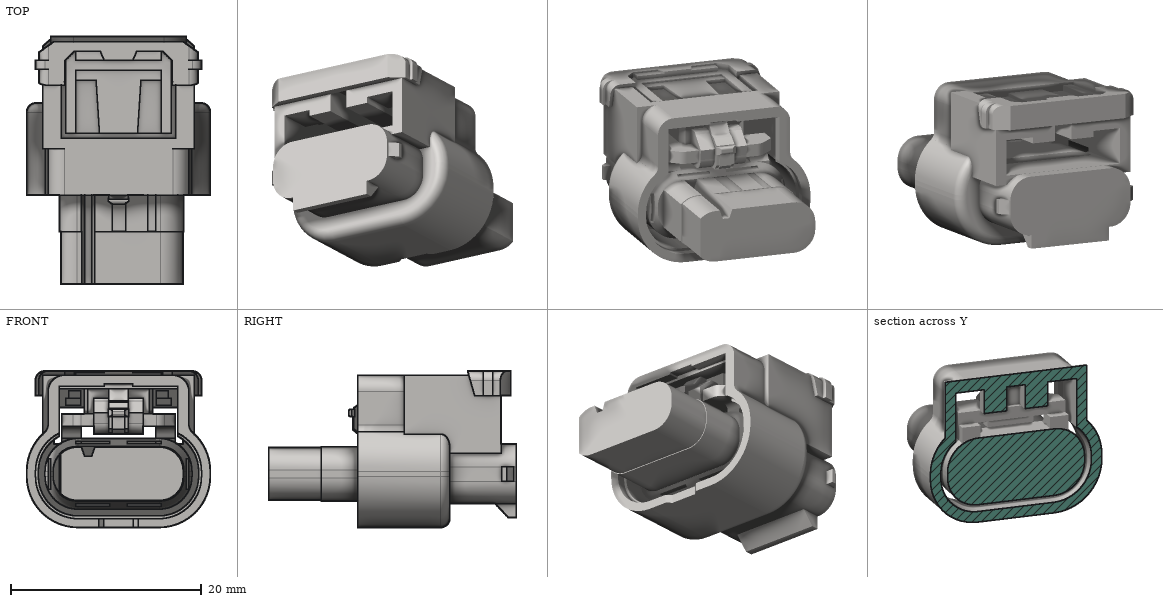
import cadquery as cq

OVAL_STRETCH = 4.0

SHROUD_HALF_HEIGHT = 5.65
SHROUD_END_FLAT = 0.26
SHROUD_DEPTH = 9.7
SHROUD_REAR_FILLET = 1.0
RIM_HALF_HEIGHT = 4.72
RIM_DEPTH = 1.0
CAVITY_HALF_HEIGHT = 4.42
CAVITY_DEPTH = 8.0
NOTCH_HALF_FRONT = 2.1
NOTCH_HALF_REAR = 1.55
NOTCH_DEPTH = 0.5

BOX_TOP = 10.35
BOX_BOTTOM = 2.15
BOX_HALF_WIDTH = 7.97
BOX_FRONT = 4.88
BOX_REAR = 15.08
HOOD_HALF_WIDTH = 7.39
HOOD_RADIUS = 1.7
HOOD_BLEND_TOP = 5.15
HOOD_BLEND_BOTTOM = 4.42
HOOD_BLEND_RUN = 0.3
WINDOW_HALF_WIDTH = 6.2
WINDOW_TOP = 9.21
WINDOW_RELIEF_HALF = 1.5
WINDOW_RELIEF_RISE = 0.22
CHAMBER_HALF_WIDTH = 6.76
CHAMBER_BOTTOM = 3.15
CHAMBER_TOP = 8.95
FRONT_WALL = 1.2

POCKET_HALF_WIDTH = 6.0
POCKET_FRONT = 6.0
POCKET_FLOOR = 9.5
PANEL_HALF_WIDTH = 5.52
PANEL_FRONT = 6.5
PANEL_TOP = 10.2
PANEL_INSET_HALF = 4.5
PANEL_INSET_REAR = 13.1
PANEL_INSET_DEPTH = 0.2
SIDE_RECESS_REAR = 12.05
SIDE_RECESS_DEPTH = 0.4
TONGUE_HALF_FRONT = 2.0
TONGUE_HALF_REAR = 2.35

CAP_TOP = 10.8
CAP_BOTTOM = 8.2
CAP_HALF_WIDTH = 8.37
CAP_REAR = 16.1
CAP_FRONT_TOP = 11.55
CAP_FRONT_BOTTOM = 12.3
CAP_CORNER_RADIUS = 1.0
CAP_CHAMFER_X = 1.55
CAP_CHAMFER_Y = 1.1
CAP_RIB_HALF_WIDTH = 8.73
CAP_RIB_FRONT = 13.2
CAP_RIB_REAR = 14.18
CAP_OPENING_HALF_WIDTH = 5.65
CAP_OPENING_REAR = 15.1
CAP_OPENING_CORNER = 1.0
CAP_TAB_HALF_ROOT = 1.9
CAP_TAB_HALF_TIP = 1.5
CAP_TAB_TIP = 14.15
CAP_PAD_TOP = 10.62

BODY_REAR = 16.68
REAR_BODY_HALF_HEIGHT = 3.13
REAR_BODY_END_FLAT = 0.76
COLLAR_HALF_HEIGHT = 3.72
COLLAR_FRONT = 1.5
COLLAR_TAPER = 0.85
COLLAR_SLOT_INNER = 0.9
COLLAR_SLOT_OUTER = 4.5
COLLAR_SLOT_BOTTOM = 3.17
COLLAR_SLOT_TOP = 3.42
COLLAR_SIDE_SLOT_HALF = 1.6
COLLAR_SIDE_SLOT_INNER = 7.1
COLLAR_SIDE_SLOT_OUTER = 7.4
COLLAR_SLOT_LENGTH = 1.5
EAR_HALF_WIDTH = 7.95
EAR_TIP_HALF_WIDTH = 6.8
EAR_FRONT = 15.15
EAR_SLOPE_START = 15.65
LIP_BOTTOM = -4.6
LIP_HALF_WIDTH = 4.6
LIP_TOE_LENGTH = 0.85
LIP_LENGTH = 2.25
PLUG_FRONT = -9.34
PLUG_HALF_HEIGHT = 2.78
PLUG_END_FLAT = 0.4
PLUG_FLAT = 6.05
STEP_FRONT = -3.83
STEP_MARGIN = 0.08
STEP_GROOVE_END = -3.77
STEP_GROOVES = ((-0.65, 0.75), (3.05, 3.9))
KEY_CENTRE = -3.19
KEY_HALF_TOP = 0.72
KEY_HALF_BOTTOM = 0.37
KEY_DEPTH = 0.95

PAD_INNER = 1.0
PAD_OUTER = 2.58
PAD_BOTTOM = 4.16
PAD_REAR = 3.5
PAD_PROFILE = (
    (PAD_REAR, 7.93),
    (1.9, 7.93),
    (1.7, 7.69),
    (0.05, 6.43),
    (0.2, 5.33),
)
PAD_UNDERSIDE_MIDDLE = (0.5, 4.55)
PAD_UNDERSIDE_END = (1.2, PAD_BOTTOM)
NOSE_PROFILE = (
    (PAD_REAR, PAD_BOTTOM),
    (PAD_REAR, 9.3),
    (2.4, 9.3),
    (1.0, 7.65),
    (0.4, 7.5),
    (-0.42, 6.9),
    (-0.42, 4.75),
    (0.05, 4.3),
    (0.05, PAD_BOTTOM),
)
NUB_BOTTOM = 6.0
NUB_TOP = 6.8
NUB_TIP = -0.95
NUB_HALF_TIP = 0.65
NUB_HALF_ROOT = 1.1
NUB_ROOT = -0.3
NUB_SHOULDER = -0.6
NUB_FILLET = 0.25
KNOB_HALF_WIDTH = 0.65
KNOB_FRONT = -0.53
KNOB_SLOPE_TOP = 4.65
KNOB_BOTTOM = 4.2
ARM_BOTTOM = 4.98
ARM_TOP = 6.3
ARM_FRONT = 0.6
ARM_REAR = 4.0
ARM_STRAIGHT_END = 3.97
ARM_CURVE_MIDDLE = (4.45, 0.7)
ARM_CURVE_END = (4.8, 0.95)
ARM_END_FRONT = 2.0
LEG_INNER = 3.9
LEG_OUTER = 5.97
LEG_FRONT = 2.4
LEG_HOLLOW = 0.6
LEG_REAR = 5.0
LEG_TOE = 3.72
LEG_BASE = 2.0
POST_INNER = 1.0
POST_SHOULDER = 3.25
POST_OUTER = 3.6
POST_FRONT = 3.0
POST_SLOPE = 1.0
POST_BOTTOM = 6.3
LOCK_FRONT = 11.0
LOCK_BOTTOM = 6.95
LOCK_PLATE_STEP = 0.4
LOCK_PLATE_INNER = 3.97
LOCK_PLATES = ((5.25, 7.92, 8.71), (5.54, 7.17, 7.92))


def block(half_width, y_front, y_rear, z_bottom, z_top):
    """Box centred on X = 0."""
    size = (2 * half_width, y_rear - y_front, z_top - z_bottom)
    corner = (-half_width, y_front, z_bottom)
    return cq.Workplane("XY").box(*size, centered=False).translate(corner)


def side_blocks(x_inner, x_outer, y_front, y_rear, z_bottom, z_top):
    """Mirrored pair of boxes."""
    size = (x_outer - x_inner, y_rear - y_front, z_top - z_bottom)
    right = cq.Workplane("XY").box(*size, centered=False).translate((x_inner, y_front, z_bottom))
    return right.union(right.mirror("YZ"))


def front_plane(y):
    return cq.Workplane("XZ", origin=(0, y, 0))


def oval(half_height, end_flat, y_front, y_rear):
    """Rounded oval prism running along Y."""
    length = y_rear - y_front
    prism = front_plane(y_rear).rect(2 * (OVAL_STRETCH + half_height), 2 * half_height).extrude(length)
    return prism.edges("|Y").fillet(half_height - end_flat)


def mirrored_outline(half_points):
    """Closed point list from its +X half."""
    return half_points + [(-x, v) for x, v in reversed(half_points)]


def make_shell():
    shroud = oval(SHROUD_HALF_HEIGHT, SHROUD_END_FLAT, 0, SHROUD_DEPTH)
    shroud = shroud.faces(">Y").edges().fillet(SHROUD_REAR_FILLET)
    box = block(BOX_HALF_WIDTH, BOX_FRONT, BOX_REAR, BOX_BOTTOM, BOX_TOP)
    hood = block(HOOD_HALF_WIDTH, 0, BOX_FRONT, 0, BOX_TOP).edges("|Y and >Z").fillet(HOOD_RADIUS)
    foot_x = HOOD_HALF_WIDTH + HOOD_BLEND_RUN
    foot = (
        front_plane(BOX_FRONT)
        .moveTo(0, 0)
        .lineTo(0, BOX_TOP - HOOD_RADIUS)
        .lineTo(HOOD_HALF_WIDTH, BOX_TOP - HOOD_RADIUS)
        .lineTo(HOOD_HALF_WIDTH, HOOD_BLEND_TOP)
        .tangentArcPoint((foot_x, HOOD_BLEND_BOTTOM), relative=False)
        .lineTo(foot_x, 0)
        .close()
        .extrude(BOX_FRONT)
    )
    return shroud.union(box).union(hood).union(foot).union(foot.mirror("YZ"))


def hollow_shell(shell):
    shell = shell.cut(oval(RIM_HALF_HEIGHT, SHROUD_END_FLAT, 0, RIM_DEPTH))
    shell = shell.cut(oval(CAVITY_HALF_HEIGHT, SHROUD_END_FLAT, 0, CAVITY_DEPTH))
    shell = shell.cut(block(WINDOW_HALF_WIDTH, 0, FRONT_WALL, 0, WINDOW_TOP))
    relief_top = WINDOW_TOP + WINDOW_RELIEF_RISE
    shell = shell.cut(block(WINDOW_RELIEF_HALF, 0, FRONT_WALL, 0, relief_top))
    shell = shell.cut(block(CHAMBER_HALF_WIDTH, FRONT_WALL, BOX_REAR, CHAMBER_BOTTOM, CHAMBER_TOP))
    notch = (
        cq.Workplane("XY", origin=(0, 0, -SHROUD_HALF_HEIGHT))
        .polyline(mirrored_outline([(NOTCH_HALF_FRONT, 0), (NOTCH_HALF_REAR, NOTCH_DEPTH)]))
        .close()
        .extrude(SHROUD_HALF_HEIGHT - CAVITY_HALF_HEIGHT)
    )
    return shell.cut(notch)


def make_cap():
    solid_cap = block(CAP_HALF_WIDTH, CAP_FRONT_TOP, CAP_REAR, CAP_BOTTOM, CAP_TOP)
    solid_cap = solid_cap.edges("|Y and >Z").fillet(CAP_CORNER_RADIUS)
    rib = block(CAP_RIB_HALF_WIDTH, CAP_RIB_FRONT, CAP_RIB_REAR, CAP_BOTTOM, CAP_TOP)
    solid_cap = solid_cap.union(rib.edges("|Y and >Z").fillet(CAP_CORNER_RADIUS))
    corner = (
        cq.Workplane("XY", origin=(0, 0, CAP_BOTTOM))
        .moveTo(CAP_HALF_WIDTH - CAP_CHAMFER_X, CAP_REAR)
        .lineTo(CAP_HALF_WIDTH, CAP_REAR)
        .lineTo(CAP_HALF_WIDTH, CAP_REAR - CAP_CHAMFER_Y)
        .close()
        .extrude(CAP_TOP - CAP_BOTTOM)
    )
    solid_cap = solid_cap.cut(corner).cut(corner.mirror("YZ"))
    front_slope = (
        cq.Workplane("YZ")
        .moveTo(CAP_FRONT_TOP, CAP_TOP)
        .lineTo(CAP_FRONT_TOP, CAP_BOTTOM)
        .lineTo(CAP_FRONT_BOTTOM, CAP_BOTTOM)
        .close()
        .extrude(CAP_RIB_HALF_WIDTH, both=True)
    )
    solid_cap = solid_cap.cut(front_slope)
    opening = (
        cq.Workplane("XY", origin=(0, 0, POCKET_FLOOR))
        .polyline(
            mirrored_outline(
                [
                    (CAP_OPENING_HALF_WIDTH, CAP_FRONT_TOP),
                    (CAP_OPENING_HALF_WIDTH, CAP_OPENING_REAR - CAP_OPENING_CORNER),
                    (CAP_OPENING_HALF_WIDTH - CAP_OPENING_CORNER, CAP_OPENING_REAR),
                    (CAP_TAB_HALF_ROOT, CAP_OPENING_REAR),
                    (CAP_TAB_HALF_TIP, CAP_TAB_TIP),
                ]
            )
        )
        .close()
        .extrude(CAP_TOP - POCKET_FLOOR)
    )
    under_side = block(CHAMBER_HALF_WIDTH, CAP_FRONT_TOP, BOX_REAR, CAP_BOTTOM, CHAMBER_TOP)
    pads = side_blocks(
        CAP_TAB_HALF_TIP, PANEL_INSET_HALF, CAP_TAB_TIP, CAP_OPENING_REAR, POCKET_FLOOR, CAP_PAD_TOP
    )
    return solid_cap.cut(opening).cut(under_side).union(pads)


def make_panel():
    panel = block(PANEL_HALF_WIDTH, PANEL_FRONT, BOX_REAR, WINDOW_TOP, PANEL_TOP)
    inset_floor = PANEL_TOP - PANEL_INSET_DEPTH
    panel = panel.cut(block(PANEL_INSET_HALF, PANEL_FRONT, PANEL_INSET_REAR, inset_floor, PANEL_TOP))
    recess = (
        cq.Workplane("XY", origin=(0, 0, inset_floor - SIDE_RECESS_DEPTH))
        .moveTo(PANEL_INSET_HALF, PANEL_FRONT)
        .lineTo(PANEL_INSET_HALF, SIDE_RECESS_REAR)
        .lineTo(TONGUE_HALF_REAR, SIDE_RECESS_REAR)
        .lineTo(TONGUE_HALF_FRONT, PANEL_FRONT)
        .close()
        .extrude(SIDE_RECESS_DEPTH)
    )
    return panel.cut(recess).cut(recess.mirror("YZ"))


def make_plug_length(half_height, flat, y_front, y_rear):
    """Oval prism with its -X end cut flat."""
    plug = oval(half_height, PLUG_END_FLAT, y_front, y_rear)
    outside = 2 * OVAL_STRETCH
    trim = cq.Workplane("XY").box(outside, y_rear - y_front, outside, centered=(False, False, True))
    return plug.cut(trim.translate((-flat - outside, y_front, 0)))


def make_collar():
    collar = oval(COLLAR_HALF_HEIGHT, SHROUD_END_FLAT, COLLAR_FRONT, SHROUD_DEPTH)
    collar = collar.faces("<Y").edges().chamfer(COLLAR_TAPER)
    slot_rear = COLLAR_FRONT + COLLAR_SLOT_LENGTH
    slots = side_blocks(
        COLLAR_SLOT_INNER, COLLAR_SLOT_OUTER, COLLAR_FRONT, slot_rear, COLLAR_SLOT_BOTTOM, COLLAR_SLOT_TOP
    )
    end_slots = side_blocks(
        COLLAR_SIDE_SLOT_INNER, COLLAR_SIDE_SLOT_OUTER, COLLAR_FRONT, slot_rear,
        -COLLAR_SIDE_SLOT_HALF, COLLAR_SIDE_SLOT_HALF,
    )
    return collar.cut(slots).cut(slots.mirror("XY")).cut(end_slots)


def make_rear_body():
    body = oval(REAR_BODY_HALF_HEIGHT, REAR_BODY_END_FLAT, SHROUD_DEPTH, BODY_REAR)
    ears = (
        cq.Workplane("XY", origin=(0, 0, -REAR_BODY_END_FLAT))
        .polyline(
            mirrored_outline(
                [
                    (EAR_HALF_WIDTH, EAR_FRONT),
                    (EAR_HALF_WIDTH, EAR_SLOPE_START),
                    (EAR_TIP_HALF_WIDTH, BODY_REAR),
                ]
            )
        )
        .close()
        .extrude(2 * REAR_BODY_END_FLAT)
    )
    lip = (
        cq.Workplane("YZ")
        .moveTo(BODY_REAR, 0)
        .lineTo(BODY_REAR, LIP_BOTTOM)
        .lineTo(BODY_REAR - LIP_TOE_LENGTH, LIP_BOTTOM)
        .lineTo(BODY_REAR - LIP_LENGTH, -REAR_BODY_HALF_HEIGHT)
        .lineTo(BODY_REAR - LIP_LENGTH, 0)
        .close()
        .extrude(LIP_HALF_WIDTH, both=True)
    )
    return body.union(ears).union(lip)


def make_plug():
    plug = make_plug_length(PLUG_HALF_HEIGHT, PLUG_FLAT, PLUG_FRONT, COLLAR_FRONT)
    step_half_height = PLUG_HALF_HEIGHT + STEP_MARGIN
    step = make_plug_length(step_half_height, PLUG_FLAT + 2 * STEP_MARGIN, STEP_FRONT, COLLAR_FRONT)
    for x_left, x_right in STEP_GROOVES:
        size = (x_right - x_left, COLLAR_FRONT - STEP_GROOVE_END, STEP_MARGIN)
        groove = cq.Workplane("XY").box(*size, centered=False)
        step = step.cut(groove.translate((x_left, STEP_GROOVE_END, PLUG_HALF_HEIGHT)))
    return plug.union(step)


def make_key_groove():
    key_top = PLUG_HALF_HEIGHT + STEP_MARGIN
    key_floor = PLUG_HALF_HEIGHT - KEY_DEPTH
    return (
        front_plane(COLLAR_FRONT)
        .moveTo(KEY_CENTRE - KEY_HALF_TOP, key_top)
        .lineTo(KEY_CENTRE + KEY_HALF_TOP, key_top)
        .lineTo(KEY_CENTRE + KEY_HALF_BOTTOM, key_floor)
        .lineTo(KEY_CENTRE - KEY_HALF_BOTTOM, key_floor)
        .close()
        .extrude(COLLAR_FRONT - PLUG_FRONT)
    )


def make_latch_pads():
    """Sloped pads, rounded off underneath."""
    pad = (
        cq.Workplane("YZ", origin=(PAD_INNER, 0, 0))
        .polyline(PAD_PROFILE)
        .threePointArc(PAD_UNDERSIDE_MIDDLE, PAD_UNDERSIDE_END)
        .lineTo(PAD_REAR, PAD_BOTTOM)
        .close()
        .extrude(PAD_OUTER - PAD_INNER)
    )
    return pad.union(pad.mirror("YZ"))


def make_latch_nose():
    nose = cq.Workplane("YZ").polyline(NOSE_PROFILE).close().extrude(PAD_INNER, both=True)
    nub = (
        cq.Workplane("XY", origin=(0, 0, NUB_BOTTOM))
        .polyline(
            mirrored_outline(
                [
                    (NUB_HALF_ROOT, NUB_ROOT),
                    (NUB_HALF_ROOT, NUB_SHOULDER),
                    (NUB_HALF_TIP, NUB_TIP),
                ]
            )
        )
        .close()
        .extrude(NUB_TOP - NUB_BOTTOM)
        .faces("<Y")
        .edges("|X")
        .fillet(NUB_FILLET)
    )
    knob = (
        cq.Workplane("YZ")
        .moveTo(ARM_FRONT, KNOB_BOTTOM)
        .lineTo(0, KNOB_BOTTOM)
        .lineTo(KNOB_FRONT, KNOB_SLOPE_TOP)
        .lineTo(KNOB_FRONT, NUB_BOTTOM)
        .lineTo(ARM_FRONT, NUB_BOTTOM)
        .close()
        .extrude(KNOB_HALF_WIDTH, both=True)
    )
    return nose.union(nub).union(knob)


def make_latch_arm():
    """Cross arm with swept-back ends, standing on legs with a hollow front."""
    half_bar = (
        cq.Workplane("XY", origin=(0, 0, ARM_BOTTOM))
        .moveTo(0, ARM_REAR)
        .lineTo(0, ARM_FRONT)
        .lineTo(ARM_STRAIGHT_END, ARM_FRONT)
        .threePointArc(ARM_CURVE_MIDDLE, ARM_CURVE_END)
        .lineTo(LEG_OUTER, ARM_END_FRONT)
        .lineTo(LEG_OUTER, ARM_REAR)
        .close()
        .extrude(ARM_TOP - ARM_BOTTOM)
    )
    leg = (
        cq.Workplane("YZ", origin=(LEG_INNER, 0, 0))
        .moveTo(LEG_FRONT, ARM_BOTTOM)
        .threePointArc((LEG_FRONT + LEG_HOLLOW, (ARM_BOTTOM + LEG_TOE) / 2), (LEG_FRONT, LEG_TOE))
        .lineTo(LEG_FRONT, LEG_BASE)
        .lineTo(LEG_REAR, LEG_BASE)
        .lineTo(LEG_REAR, ARM_BOTTOM)
        .close()
        .extrude(LEG_OUTER - LEG_INNER)
    )
    arm = half_bar.union(half_bar.mirror("YZ"))
    return arm.union(leg).union(leg.mirror("YZ"))


def make_latch_posts():
    """Posts that hang the latch from the housing roof."""
    post = (
        cq.Workplane("XY", origin=(0, 0, POST_BOTTOM))
        .moveTo(POST_INNER, POST_FRONT)
        .lineTo(POST_SHOULDER, POST_FRONT)
        .lineTo(POST_OUTER, POST_FRONT + POST_SLOPE)
        .lineTo(POST_OUTER, BOX_REAR)
        .lineTo(POST_INNER, BOX_REAR)
        .close()
        .extrude(WINDOW_TOP - POST_BOTTOM)
    )
    return post.union(post.mirror("YZ"))


def make_lock_blocks():
    """Blocks filling the rear upper corners of the chamber, with stepped front plates."""
    locks = side_blocks(POST_OUTER, CHAMBER_HALF_WIDTH, LOCK_FRONT, BOX_REAR, LOCK_BOTTOM, CHAMBER_TOP)
    plate_front = LOCK_FRONT
    for x_outer, z_bottom, z_top in LOCK_PLATES:
        plate_front -= LOCK_PLATE_STEP
        locks = locks.union(side_blocks(LOCK_PLATE_INNER, x_outer, plate_front, LOCK_FRONT, z_bottom, z_top))
    return locks


shell = hollow_shell(make_shell())
pocket = block(POCKET_HALF_WIDTH, POCKET_FRONT, BOX_REAR, POCKET_FLOOR, BOX_TOP)
shell = shell.cut(pocket).union(make_cap()).union(make_panel())
body = make_collar().union(make_rear_body()).union(make_plug()).cut(make_key_groove())
latch = make_latch_pads().union(make_latch_nose()).union(make_latch_arm())
latch = latch.union(make_latch_posts()).union(make_lock_blocks())
result = shell.union(body).union(latch)